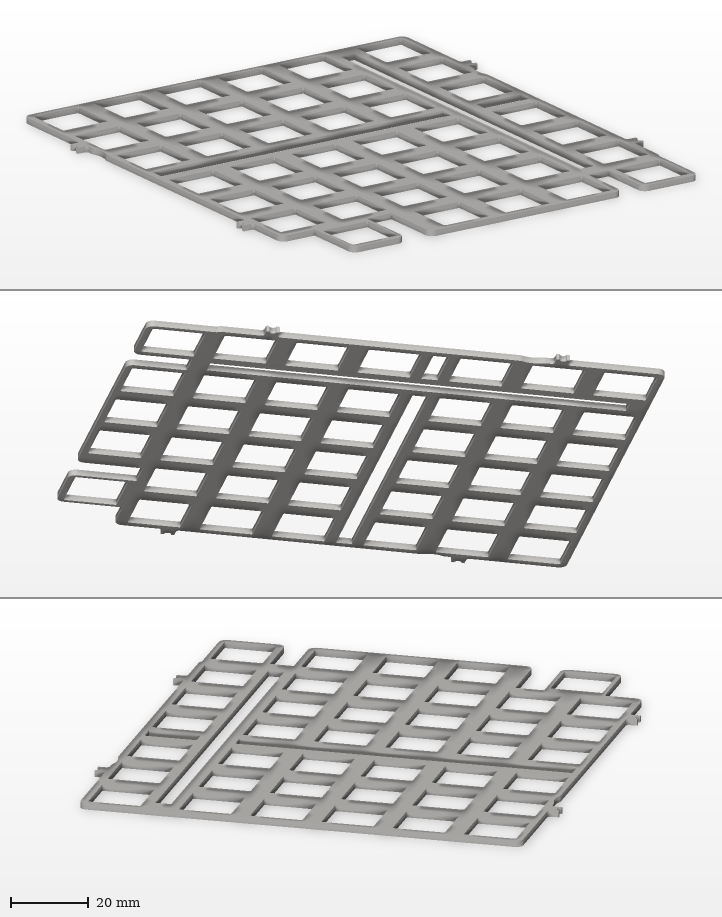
import cadquery as cq

length = 136.8
thickness = 1.6
body_width = 118.2
corner_radius = 2.0

key_size = 14.0
key_corner = 0.4
group_pitch = 24.2
side_margin = 1.8
top_margin = 2.0
pitches_across = 5
key_pitch = (length - 2 * side_margin - key_size - group_pitch) / pitches_across

column_rim = 1.9
column_top_rim = 1.5
column_overhang = 5.7
lone_key_rim = 1.1
main_edge_gap = 3.1

slot_width = 4.2
slot_inset = 3.5

tab_width = 3.5
tab_height = 2.9
tab_root_radius = 0.8
tab_embed = 1.4
tab_bite_radius = 1.0
right_tab_offset = 4.7

hollow_offset = 7.4
hollow_half_length = 3.5
hollow_lead_in = 1.0
hollow_depth = 0.7

half_key = key_size / 2
half_width = body_width / 2
left = -length / 2
right = length / 2

first_x = left + side_margin + half_key
column_x = [first_x + i * key_pitch for i in range(3)]
column_x += [column_x[2] + group_pitch + i * key_pitch for i in range(4)]
top_y = half_width - top_margin - half_key
row_y = [top_y] + [top_y - group_pitch - i * key_pitch for i in range(5)]
lone_key_y = (row_y[4] + row_y[5]) / 2

main_right = column_x[5] + half_key + main_edge_gap
last_column_left = column_x[6] - half_key


def block(x0, x1, y0, y1):
    """Full-thickness box between two opposite corners."""
    return (
        cq.Workplane("XY")
        .box(x1 - x0, y1 - y0, thickness, centered=False)
        .translate((x0, y0, -thickness / 2))
    )


def arm(x0, y0, y1):
    """Block reaching the right side, with rounded free corners."""
    return block(x0, right, y0, y1).edges("|Z and >X").fillet(corner_radius)


def plate_body():
    body = block(left, main_right, -half_width, half_width).edges("|Z").fillet(corner_radius)
    top_key_low = row_y[0] - half_key - column_rim
    column_high = row_y[1] + half_key + column_rim
    inside_x = column_x[5]
    body = body.union(arm(inside_x, top_key_low, row_y[0] + half_key + column_top_rim))
    body = body.union(arm(inside_x, row_y[3] - half_key - column_overhang, column_high))
    lone_half = half_key + lone_key_rim
    body = body.union(arm(inside_x, lone_key_y - lone_half, lone_key_y + lone_half))
    return body.union(block(inside_x, last_column_left, column_high, top_key_low))


def key_openings():
    centres = [(x, y) for x in column_x[:6] for y in row_y]
    centres += [(column_x[6], y) for y in row_y[:4]]
    centres.append((column_x[6], lone_key_y))
    return (
        cq.Workplane("XY")
        .pushPoints(centres)
        .rect(key_size, key_size)
        .extrude(thickness, both=True)
        .edges("|Z")
        .fillet(key_corner)
    )


def split_slots():
    slot_y = (row_y[0] + row_y[1]) / 2
    slot_x = (column_x[2] + column_x[3]) / 2
    half_slot = slot_width / 2
    slot_start = column_x[0] - half_key + slot_inset
    slots = block(slot_start, column_x[5] + half_key, slot_y - half_slot, slot_y + half_slot)
    for high, low in ((row_y[0], row_y[0]), (row_y[1], row_y[5])):
        slots = slots.union(block(slot_x - half_slot, slot_x + half_slot, low - half_key, high + half_key))
    return slots


def tab(x):
    """Tab on the upper edge with flared roots and a round bite in its tip."""
    half_tab = tab_width / 2
    half_root = half_tab + tab_root_radius
    base_y = half_width - tab_embed
    tip_y = half_width + tab_height
    root_y = half_width + tab_root_radius
    return (
        cq.Workplane("XY", origin=(x, 0, -thickness / 2))
        .moveTo(-half_root, base_y)
        .lineTo(-half_root, half_width)
        .radiusArc((-half_tab, root_y), -tab_root_radius)
        .lineTo(-half_tab, tip_y)
        .lineTo(-tab_bite_radius, tip_y)
        .radiusArc((tab_bite_radius, tip_y), -tab_bite_radius)
        .lineTo(half_tab, tip_y)
        .lineTo(half_tab, root_y)
        .radiusArc((half_root, half_width), -tab_root_radius)
        .lineTo(half_root, base_y)
        .close()
        .extrude(thickness)
    )


def hollow(x):
    """Shallow arc cut into the upper edge, eased in by a rounded entry at each end."""
    entry_depth = hollow_depth * hollow_lead_in / hollow_half_length
    entry_radius = (hollow_lead_in**2 + entry_depth**2) / (2 * entry_depth)
    bend_x = hollow_half_length - hollow_lead_in
    return (
        cq.Workplane("XY", origin=(x, half_width, -thickness / 2))
        .moveTo(-hollow_half_length, 0)
        .radiusArc((-bend_x, -entry_depth), entry_radius)
        .threePointArc((0, -hollow_depth), (bend_x, -entry_depth))
        .radiusArc((hollow_half_length, 0), entry_radius)
        .close()
        .extrude(thickness)
    )


def on_both_edges(shape):
    """Add the mirror image on the lower edge."""
    return shape.union(shape.mirror("XZ"))


left_tab_x = column_x[1]
right_tab_x = column_x[5] - right_tab_offset

result = plate_body().cut(key_openings()).cut(split_slots())
for tab_x in (left_tab_x, right_tab_x):
    result = result.union(on_both_edges(tab(tab_x)))
result = result.cut(on_both_edges(hollow(left_tab_x + hollow_offset)))